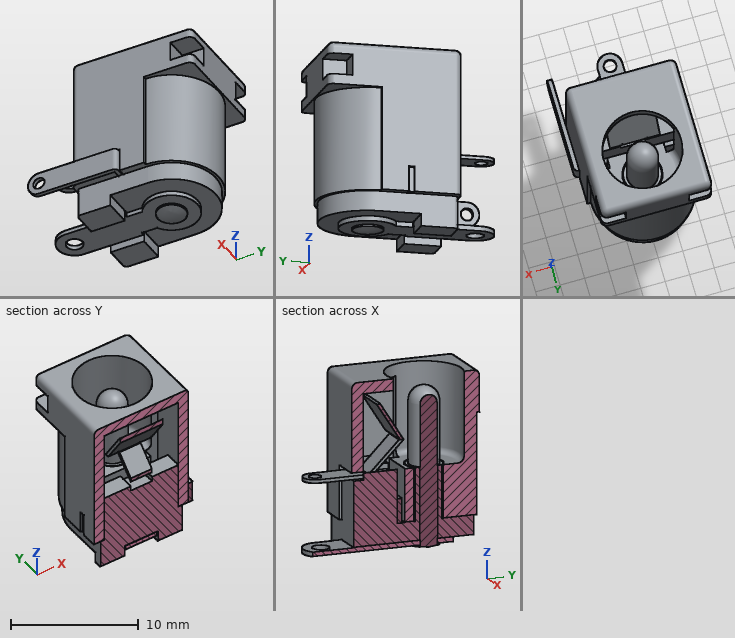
import cadquery as cq
import math


housing_width = 9.0
housing_front = -6.5
housing_back = 4.3
housing_height = 11.8
edge_radius = 0.5
barrel_radius = 4.2
flange_height = 3.48
wall = 1.0
notch_size = 1.93
notch_height = 1.68
bore_radius = 3.15
floor_z = 4.38
boss_hole_radius = 1.58
cavity_back = -1.2
lug_half_width = 2.3
lug_front = -2.02
front_slot_width = 3.13
front_slot_height = 4.45
side_slot_back = -2.18
side_slot_height = 2.03

half_width = housing_width / 2
flange_z = housing_height - flange_height
cavity_top = housing_height - wall
cavity_front = housing_front + wall
cavity_half_width = half_width - wall

base_half_width = 3.9
base_front = -6.34
base_arc_y = 0.06
base_corner_radius = 0.3
base_thickness = 1.61
foot_height = 0.99
foot_back = -3.34
boss_radius = 1.51
tongue_width = 2.99
tongue_height = 3.81

base_bottom = -base_thickness

pin_radius = 1.25
pin_tip_z = 10.72
rivet_rim = 0.15
rivet_dome = 0.22

terminal_tip = -10.2
pin_terminal_thickness = 0.39
pin_terminal_width = 3.0
pin_terminal_hole = 1.4
disc_radius = 2.32
neck_width = 2.44

small_tab_hole = 1.0

spring_thickness = 0.29
spring_tab_width = 2.0
spring_tab_z = 3.93
spring_leaf_width = 4.09
spring_contact_y = -2.09
spring_bend_y = -4.93
spring_end_y = -4.06
spring_end_z = 9.86

switch_thickness = 0.38
switch_height = 1.99
switch_front = -2.62
switch_end_recess = 0.15


def block(x0, x1, y0, y1, z0, z1):
    """Box given by its limits along each axis."""
    return cq.Workplane("XY").box(x1 - x0, y1 - y0, z1 - z0, centered=False).translate((x0, y0, z0))


def centered_block(half_x, y0, y1, z0, z1):
    """Box symmetric about X = 0."""
    return block(-half_x, half_x, y0, y1, z0, z1)


def cylinder(radius, z0, z1):
    """Cylinder on the pin axis."""
    return cq.Workplane("XY").workplane(offset=z0).circle(radius).extrude(z1 - z0)


def solder_tab(width, thickness, hole, root_y, z0):
    """Flat tab running toward -Y, with a round end and a hole at the center of that end."""
    half = width / 2
    end_center = terminal_tip + half
    return (
        cq.Workplane("XY")
        .workplane(offset=z0)
        .moveTo(half, root_y)
        .lineTo(half, end_center)
        .threePointArc((0, terminal_tip), (-half, end_center))
        .lineTo(-half, root_y)
        .close()
        .moveTo(0, end_center)
        .circle(hole / 2)
        .extrude(thickness)
    )


def make_housing():
    body = (
        centered_block(half_width, housing_front, housing_back, 0, housing_height)
        .edges("|Z or >Z")
        .fillet(edge_radius)
    )
    behind = centered_block(half_width, 0, housing_back, 0, flange_z)
    body = body.cut(behind.cut(cylinder(barrel_radius, 0, flange_z)))

    for x0 in (-half_width, half_width - notch_size):
        body = body.cut(
            block(
                x0, x0 + notch_size,
                housing_back - notch_size, housing_back,
                cavity_top - notch_height, cavity_top,
            )
        )

    bore = cylinder(bore_radius, floor_z, housing_height).faces("<Z").edges().fillet(edge_radius)
    body = body.cut(bore)

    cavity = centered_block(cavity_half_width, cavity_front, cavity_back, 0, cavity_top)
    lug = centered_block(lug_half_width, lug_front, cavity_back, 0, floor_z)
    body = body.cut(cavity.cut(lug))
    body = body.cut(cylinder(boss_hole_radius, 0, floor_z))

    front_slot = centered_block(front_slot_width / 2, housing_front, cavity_front, 0, front_slot_height)
    side_slots = centered_block(half_width, switch_front, side_slot_back, 0, side_slot_height)
    return body.cut(front_slot).cut(side_slots)


def make_base():
    plate = (
        cq.Workplane("XY")
        .workplane(offset=base_bottom)
        .moveTo(-base_half_width, base_arc_y)
        .threePointArc((0, base_arc_y + base_half_width), (base_half_width, base_arc_y))
        .lineTo(base_half_width, base_front)
        .lineTo(-base_half_width, base_front)
        .close()
        .extrude(base_thickness)
    )
    foot_bottom = base_bottom - foot_height
    foot = centered_block(base_half_width, base_front, foot_back, foot_bottom, base_bottom)
    body = plate.union(foot).edges("|Z and <Y").fillet(base_corner_radius)
    body = body.cut(
        centered_block(front_slot_width / 2, base_front, foot_back, foot_bottom, base_bottom)
    )

    body = body.union(cylinder(boss_radius, 0, floor_z))

    body = body.union(centered_block(cavity_half_width, cavity_front, switch_front, 0, floor_z))
    body = body.union(centered_block(tongue_width / 2, base_front, cavity_front, 0, tongue_height))
    body = body.cut(
        centered_block(spring_tab_width / 2, cavity_front, switch_front, spring_tab_z, floor_z)
    )
    return body.cut(cylinder(pin_radius, base_bottom, floor_z))


def make_pin():
    shoulder_z = pin_tip_z - pin_radius
    head_z = base_bottom - pin_terminal_thickness - rivet_rim
    head_sphere = (pin_radius**2 + rivet_dome**2) / (2 * rivet_dome)
    mid_radius = pin_radius / 2
    mid_z = head_z - rivet_dome + head_sphere - math.sqrt(head_sphere**2 - mid_radius**2)
    diagonal = pin_radius * math.sqrt(0.5)
    return (
        cq.Workplane("XZ")
        .moveTo(0, head_z - rivet_dome)
        .threePointArc((mid_radius, mid_z), (pin_radius, head_z))
        .lineTo(pin_radius, shoulder_z)
        .threePointArc((diagonal, shoulder_z + diagonal), (0, pin_tip_z))
        .close()
        .revolve(360, (0, 0, 0), (0, 1, 0))
    )


def make_pin_terminal():
    z0 = base_bottom - pin_terminal_thickness
    disc = cylinder(disc_radius, z0, base_bottom)
    neck = centered_block(neck_width / 2, foot_back, 0, z0, base_bottom)
    tab = solder_tab(pin_terminal_width, pin_terminal_thickness, pin_terminal_hole, foot_back, z0)
    return disc.union(neck).union(tab).cut(cylinder(pin_radius, z0, base_bottom))


def sloped_strip(width, start, end):
    """Strip of the spring's thickness whose +Y face runs between two (y, z) points."""
    (y0, z0), (y1, z1) = start, end
    offset = spring_thickness * math.hypot(y1 - y0, z1 - z0) / abs(z1 - z0)
    outline = [(y0, z0), (y1, z1), (y1 - offset, z1), (y0 - offset, z0)]
    return cq.Workplane("YZ").polyline(outline).close().extrude(width / 2, both=True)


def make_spring_terminal():
    tab = solder_tab(spring_tab_width, spring_thickness, small_tab_hole, spring_bend_y, spring_tab_z)
    bend = (spring_bend_y, spring_tab_z)
    crest = (spring_contact_y, spring_tab_z + spring_contact_y - spring_bend_y)
    leg = sloped_strip(spring_tab_width, bend, crest)
    leaf = sloped_strip(spring_leaf_width, crest, (spring_end_y, spring_end_z))
    return tab.union(leg).union(leaf)


def make_switch_terminal():
    outer_x = half_width + switch_thickness
    plate_back = switch_front + switch_thickness
    end_radius = switch_height / 2
    plate = block(-half_width + switch_end_recess, outer_x, switch_front, plate_back, 0, switch_height)
    tab = (
        solder_tab(switch_height, switch_thickness, small_tab_hole, switch_front, 0)
        .rotate((0, 0, 0), (0, 1, 0), 90)
        .translate((half_width, 0, end_radius))
    )
    return plate.union(tab).edges("|Z and >X and >Y").fillet(switch_thickness)


housing = make_housing()
base = make_base()
pin = make_pin()
pin_terminal = make_pin_terminal()
spring_terminal = make_spring_terminal()
switch_terminal = make_switch_terminal()

result = cq.Compound.makeCompound(
    [
        housing.solids().val(),
        base.solids().val(),
        pin.solids().val(),
        pin_terminal.solids().val(),
        spring_terminal.solids().val(),
        switch_terminal.solids().val(),
    ]
)